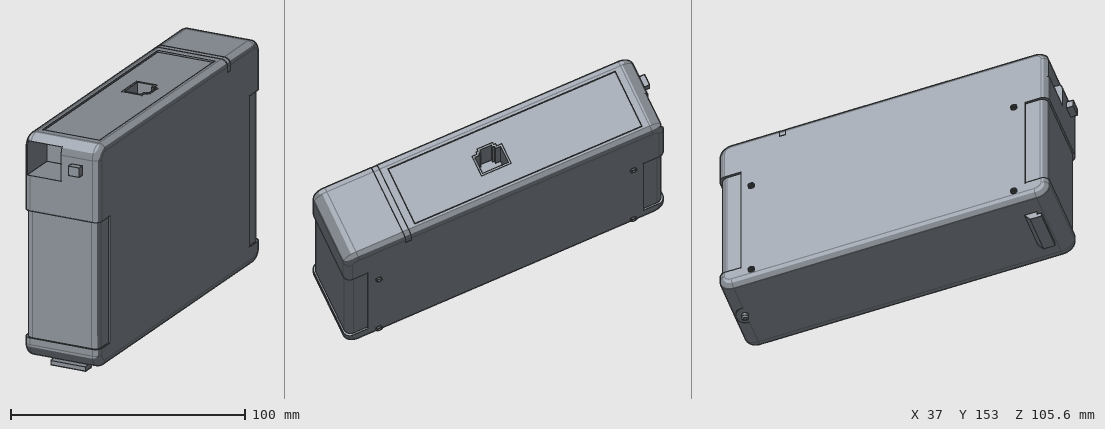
import cadquery as cq


CASE_WIDTH = 36.1
CASE_LENGTH = 150.0
CASE_HEIGHT = 101.5
CORNER_RADIUS = 6.1
EDGE_RADIUS = 3.0

BAND_INSET = 0.8
BAND_LENGTH = 10.4
BAND_BOTTOM = 9.2
FRONT_BAND_TOP = CASE_HEIGHT - 34.3
BACK_BAND_TOP = CASE_HEIGHT - 23.3

PANEL_WIDTH = 27.4
PANEL_LENGTH = 106.5
PANEL_FRONT = 9.2
PANEL_DEPTH = 0.8
PANEL_FLOOR = CASE_HEIGHT - PANEL_DEPTH

STRIP_WIDTH = 2.8
STRIP_FRONT = 119.2
STRIP_DROP = 5.7
STRIP_DEPTH = 0.08

SOCKET_LEFT = 1.7
SOCKET_WIDTH = 16.4
SOCKET_HEIGHT = 15.3
SOCKET_TOP = CASE_HEIGHT - 2.8
SOCKET_DEPTH = 18.4

BUTTON_LEFT = 23.1
BUTTON_WIDTH = 5.2
BUTTON_HEIGHT = 4.3
BUTTON_TOP = CASE_HEIGHT - 9.2
BUTTON_REACH = 3.0

FOOT_RADIUS = 1.4
FOOT_HOLE_RADIUS = 1.0
FOOT_REACH = 0.9
FOOT_FRONT = 15.3
FOOT_BACK = 134.7
FOOT_LOW = 5.0
FOOT_HIGH = 65.5

HOOK_LEFT = 9.8
HOOK_WIDTH = 16.7
HOOK_TIP = 6.5
HOOK_THROAT = 8.5
HOOK_HEEL = 11.6
HOOK_ROOT = 14.2
HOOK_DROP = 4.1
NOSE_TOP = 2.1
THROAT_TOP = 1.7

STUD_Y = 144.3
FLANGE_RADIUS = 4.0
FLANGE_HEIGHT = 3.0
STUD_RADIUS = 1.5
STUD_DROP = 2.5
STUD_CHAMFER = 0.8

JACK_LEFT = 13.3
JACK_Y = 73.8
JACK_DEPTH = 18.4
JACK_WALL = 0.9
OPENING_DEPTH = 8.0
OPENING_LENGTH = 12.1
KEY_STEP = 1.0
WIDE_KEY_LENGTH = 7.3
NARROW_KEY_LENGTH = 5.5


def block(x, y, z, size_x, size_y, size_z):
    """Box given by its lowest corner and its sizes."""
    return cq.Workplane("XY").box(size_x, size_y, size_z, centered=False).translate((x, y, z))


def make_shell():
    """Solid case with rounded corners and rounded side edges."""
    shell = block(0, 0, 0, CASE_WIDTH, CASE_LENGTH, CASE_HEIGHT)
    shell = shell.edges("|X").fillet(CORNER_RADIUS)
    return shell.faces("<X or >X").edges().fillet(EDGE_RADIUS)


def make_band_cut(y, top):
    """Skin removed from one end of the case to leave a stepped-in band."""
    height = top - BAND_BOTTOM
    skin = block(0, y, BAND_BOTTOM, CASE_WIDTH, BAND_LENGTH, height)
    core_width = CASE_WIDTH - 2 * BAND_INSET
    core_length = CASE_LENGTH - 2 * BAND_INSET
    core = block(BAND_INSET, BAND_INSET, BAND_BOTTOM, core_width, core_length, height)
    return skin.cut(core.edges("|Z").fillet(EDGE_RADIUS))


def make_panel_cut():
    left = (CASE_WIDTH - PANEL_WIDTH) / 2
    return block(left, PANEL_FRONT, PANEL_FLOOR, PANEL_WIDTH, PANEL_LENGTH, PANEL_DEPTH)


def make_strip_cut():
    """Thin skin over the top and the upper part of both sides."""
    bottom = CASE_HEIGHT - STRIP_DROP
    slab = block(0, STRIP_FRONT, bottom, CASE_WIDTH, STRIP_WIDTH, STRIP_DROP)
    core_width = CASE_WIDTH - 2 * STRIP_DEPTH
    core_height = CASE_HEIGHT - STRIP_DEPTH
    core = block(STRIP_DEPTH, 0, 0, core_width, CASE_LENGTH, core_height)
    return slab.cut(core.edges("|Y and >Z").fillet(EDGE_RADIUS))


def make_socket_cut():
    bottom = SOCKET_TOP - SOCKET_HEIGHT
    return block(SOCKET_LEFT, 0, bottom, SOCKET_WIDTH, SOCKET_DEPTH, SOCKET_HEIGHT)


def make_button():
    bottom = BUTTON_TOP - BUTTON_HEIGHT
    return block(BUTTON_LEFT, -BUTTON_REACH, bottom, BUTTON_WIDTH, BUTTON_REACH, BUTTON_HEIGHT)


def make_foot(y, z):
    """Short tube standing out of the left side."""
    ring = cq.Workplane("YZ").circle(FOOT_RADIUS).circle(FOOT_HOLE_RADIUS)
    return ring.extrude(-FOOT_REACH).translate((0, y, z))


def make_hook():
    profile = [
        (HOOK_ROOT, 0),
        (HOOK_HEEL, -HOOK_DROP),
        (HOOK_TIP, -HOOK_DROP),
        (HOOK_TIP, -NOSE_TOP),
        (HOOK_THROAT, -THROAT_TOP),
        (HOOK_THROAT, 0),
    ]
    hook = cq.Workplane("YZ").polyline(profile).close().extrude(HOOK_WIDTH)
    return hook.translate((HOOK_LEFT, 0, 0))


def make_stud():
    """Flange level with the case bottom and a chamfered stud below it."""
    stud = cq.Workplane("XY").circle(STUD_RADIUS).extrude(-STUD_DROP)
    stud = stud.faces("<Z").chamfer(STUD_CHAMFER)
    flange = cq.Workplane("XY").circle(FLANGE_RADIUS).extrude(FLANGE_HEIGHT)
    return flange.union(stud).translate((CASE_WIDTH / 2, STUD_Y, 0))


def make_jack_prism(wall):
    """Keyed jack outline, grown by a wall thickness and run down from the panel floor."""
    left = JACK_LEFT - wall
    bottom = PANEL_FLOOR - JACK_DEPTH
    prism = cq.Workplane("XY")
    steps = [OPENING_LENGTH, WIDE_KEY_LENGTH, NARROW_KEY_LENGTH]
    for step, length in enumerate(steps):
        size_x = OPENING_DEPTH + step * KEY_STEP + 2 * wall
        size_y = length + 2 * wall
        bar = block(left, JACK_Y - size_y / 2, bottom, size_x, size_y, JACK_DEPTH)
        prism = prism.add(bar)
    return prism.combine()


def make_housing():
    housing = make_shell()
    housing = housing.cut(make_band_cut(0, FRONT_BAND_TOP))
    housing = housing.cut(make_band_cut(CASE_LENGTH - BAND_LENGTH, BACK_BAND_TOP))
    housing = housing.cut(make_panel_cut())
    housing = housing.cut(make_strip_cut())
    housing = housing.cut(make_socket_cut())
    housing = housing.cut(make_jack_prism(JACK_WALL))
    housing = housing.union(make_button())
    housing = housing.union(make_hook())
    housing = housing.union(make_stud())
    for y in (FOOT_FRONT, FOOT_BACK):
        for z in (FOOT_LOW, FOOT_HIGH):
            housing = housing.union(make_foot(y, z))
    return housing


def make_jack():
    """Keyed tube lining the hole in the panel."""
    return make_jack_prism(JACK_WALL).cut(make_jack_prism(0))


housing = make_housing()
jack = make_jack()

result = cq.Compound.makeCompound([housing.val(), jack.val()])